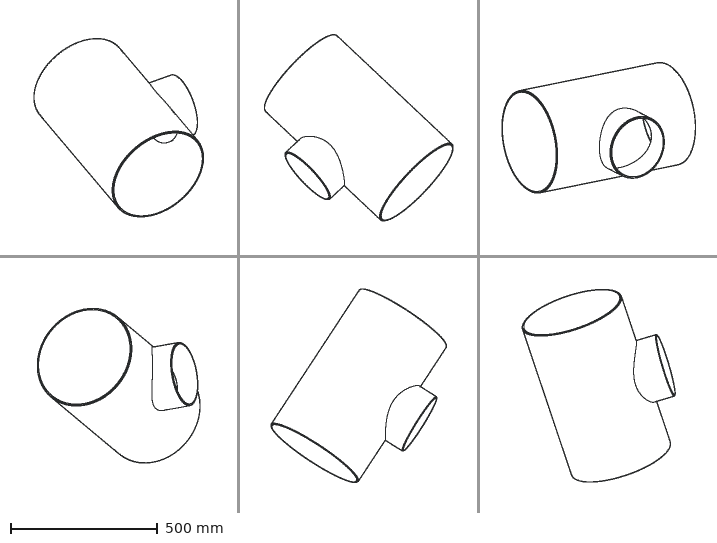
import cadquery as cq

run_length = 559.0
run_diameter = 355.5
run_wall = 6.0

branch_diameter = 219.0
branch_wall = 6.0
branch_reach = 247.5

bevel_size = 2.0


def beveled_cylinder(plane, length, diameter, bevel_faces):
    """Solid cylinder with its outer rim beveled on the chosen end faces."""
    cylinder = cq.Workplane(plane).circle(diameter / 2).extrude(length)
    return cylinder.faces(bevel_faces).edges().chamfer(bevel_size)


def bore(plane, length, diameter, wall):
    """Cylinder that hollows a pipe of the given outer diameter to its wall."""
    return cq.Workplane(plane).circle(diameter / 2 - wall).extrude(length)


run_plane = cq.Plane(origin=(-run_length / 2, 0, 0), xDir=(0, 1, 0), normal=(1, 0, 0))
branch_plane = cq.Plane(origin=(0, 0, 0), xDir=(1, 0, 0), normal=(0, 1, 0))

run = beveled_cylinder(run_plane, run_length, run_diameter, "<X or >X")
branch = beveled_cylinder(branch_plane, branch_reach, branch_diameter, ">Y")

result = (
    run.union(branch)
    .cut(bore(run_plane, run_length, run_diameter, run_wall))
    .cut(bore(branch_plane, branch_reach, branch_diameter, branch_wall))
)